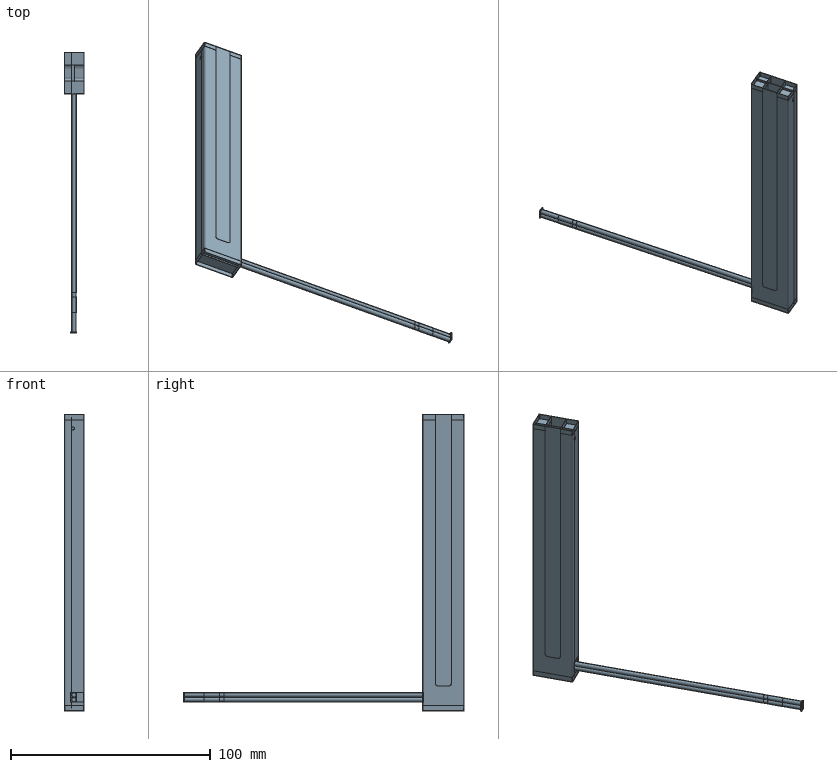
import cadquery as cq

width = 10.0
depth = 20.8
height = 148.6
skin = 0.03
corner_radius = 0.3

recess_depth = 2.7
channel_width = 8.0
channel_floor = 12.5
channel_radius = 1.5

plate_x = 3.5
plate_thickness = 0.07
plate_end_gap = 1.5
pin_diameter = 1.5
pin_z = 141.6

wire_count = 2
wire_diameter = 2.4
wire_length = 119.9
wire_pair_z = 6.8
neck_diameter = 2.29

band_start = 20.4
sleeve_start = 18.1
sleeve_end = 10.3

tip_length = 0.5
tip_overhang = 0.5

exit_depth = 0.5

inner_width = width - 2 * skin
inner_depth = depth - 2 * skin
channel_y = (depth - channel_width) / 2
side_recess_width = channel_y - 2 * skin
plate_back_x = plate_x + plate_thickness
pin_x = plate_x + pin_diameter / 2
wire_x = plate_back_x + wire_diameter / 2
tip_x = plate_back_x - tip_overhang
wire_pair_height = wire_count * wire_diameter
wire_pair_bottom = wire_pair_z - wire_pair_height / 2


def box(x, y, z, x_size, y_size, z_size):
    """Box given by its lowest corner and its sizes."""
    return cq.Workplane().box(x_size, y_size, z_size, centered=False).translate((x, y, z))


def rod_along_y(x, z, y_start, y_end, diameter):
    """Round rod parallel to Y, from y_start to y_end."""
    rod = cq.Workplane("XZ").circle(diameter / 2).extrude(y_start - y_end)
    return rod.translate((x, y_start, z))


def make_exit_recess():
    """Space of the front recess, which runs from the wires to the +X corner."""
    exit_width = width - corner_radius - tip_x
    return box(tip_x, 0, wire_pair_bottom, exit_width, exit_depth, wire_pair_height)


def make_plate():
    """Thin divider plate and pin, cleared around the wire exit."""
    plate_height = height - 2 * plate_end_gap
    plate = box(plate_x, skin, plate_end_gap, plate_thickness, inner_depth, plate_height)
    pin = rod_along_y(pin_x, pin_z, skin, depth - skin, pin_diameter)
    return plate.union(pin).cut(make_exit_recess())


def make_channel():
    """Space of the central channel, with a rounded bottom."""
    channel_height = height - channel_floor
    channel = box(skin, channel_y, channel_floor, inner_width, channel_width, channel_height)
    return channel.edges("|X and <Z").fillet(channel_radius)


def make_housing(plate):
    """Housing with its end recesses, channel, wire exit and a slot that fits the plate."""
    housing = box(0, 0, 0, width, depth, height).edges("|Z").fillet(corner_radius)
    housing = housing.cut(make_channel())
    top_recess_z = height - recess_depth
    for recess_y in (skin, channel_y + channel_width + skin):
        housing = housing.cut(
            box(skin, recess_y, top_recess_z, inner_width, side_recess_width, recess_depth)
        )
    housing = housing.cut(box(skin, skin, 0, inner_width, inner_depth, recess_depth))
    return housing.cut(make_exit_recess()).cut(plate)


def make_wire(z):
    """One wire at height z, from the bottom of the exit recess to its square tip."""
    free_end_y = -wire_length
    band_y = free_end_y + band_start
    sleeve_start_y = free_end_y + sleeve_start
    sleeve_end_y = free_end_y + sleeve_end

    insulation = rod_along_y(wire_x, z, band_y, exit_depth, wire_diameter)
    band = rod_along_y(wire_x, z, sleeve_start_y, band_y, neck_diameter)
    sleeve = rod_along_y(wire_x, z, sleeve_end_y, sleeve_start_y, wire_diameter)
    end_stretch = rod_along_y(wire_x, z, free_end_y, sleeve_end_y, neck_diameter)
    tip = box(
        tip_x, free_end_y, z - wire_diameter / 2,
        wire_diameter + tip_overhang, tip_length, wire_diameter,
    )
    return insulation.union(band).union(sleeve).union(end_stretch).union(tip)


plate = make_plate()
housing = make_housing(plate)
wires = []
for index in range(wire_count):
    wire_z = wire_pair_bottom + (index + 0.5) * wire_diameter
    wires.append(make_wire(wire_z))

result = cq.Compound.makeCompound([housing.val(), plate.val(), *[wire.val() for wire in wires]])